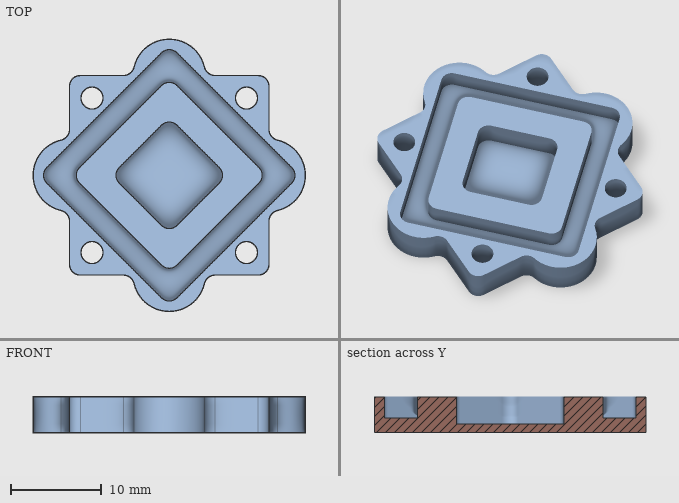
import cadquery as cq

overall_width = 30.0
thickness = 4.0
square_side = 22.0
lobe_radius = 4.0
corner_radius = 1.2
lobe_blend_radius = 1.2
lobe_offset = overall_width / 2 - lobe_radius

hole_diameter = 2.4
hole_spacing = 17.0

channel_outer_side = 20.28
island_side = 15.18
pocket_side = 9.0
diamond_corner_radius = 1.2
channel_depth = 2.3
pocket_depth = 3.0


def diamond_prism(side, depth):
    """Rounded square turned 45 degrees, reaching down from the top face."""
    return (
        cq.Workplane("XY")
        .rect(side, side)
        .extrude(depth)
        .edges("|Z")
        .fillet(diamond_corner_radius)
        .rotate((0, 0, 0), (0, 0, 1), 45)
        .translate((0, 0, thickness - depth))
    )


def plate():
    square = cq.Workplane("XY").rect(square_side, square_side).extrude(thickness)
    square = square.edges("|Z").fillet(corner_radius)
    lobe_centers = [(lobe_offset, 0), (-lobe_offset, 0), (0, lobe_offset), (0, -lobe_offset)]
    lobes = cq.Workplane("XY").pushPoints(lobe_centers).circle(lobe_radius).extrude(thickness)
    body = square.union(lobes)

    half_side = square_side / 2
    junction = (lobe_radius**2 - (half_side - lobe_offset) ** 2) ** 0.5
    middle = thickness / 2
    for sign in (1, -1):
        for side in (1, -1):
            for x, y in ((sign * junction, side * half_side), (side * half_side, sign * junction)):
                corner = cq.selectors.NearestToPointSelector((x, y, middle))
                body = body.edges("|Z").edges(corner).fillet(lobe_blend_radius)
    return body


holes = (
    cq.Workplane("XY")
    .rect(hole_spacing, hole_spacing, forConstruction=True)
    .vertices()
    .circle(hole_diameter / 2)
    .extrude(thickness)
)
channel = diamond_prism(channel_outer_side, channel_depth).cut(diamond_prism(island_side, channel_depth))
pocket = diamond_prism(pocket_side, pocket_depth)

result = plate().cut(holes).cut(channel).cut(pocket)